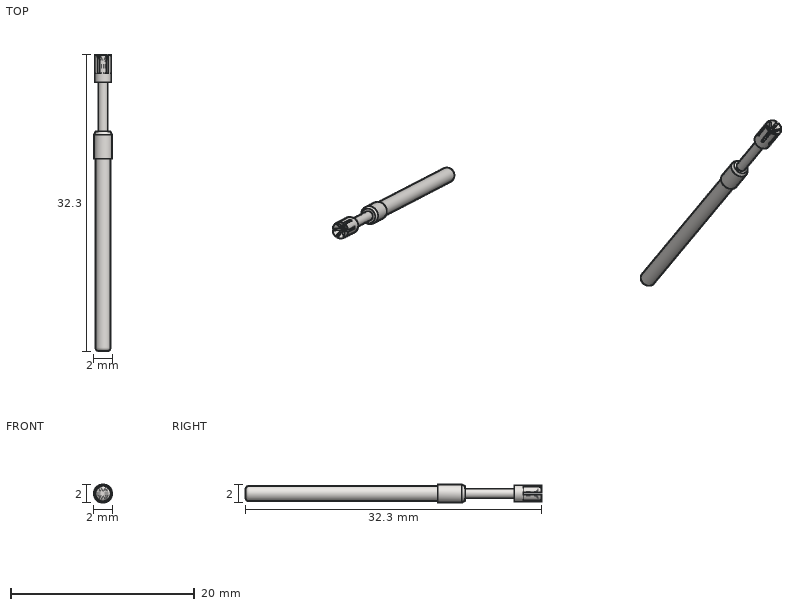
import cadquery as cq
total_length = 32.3

barrel_diameter = 1.68
barrel_end_fillet = 0.4

sleeve_diameter = 2.0
sleeve_length = 3.0
sleeve_chamfer_length = 0.4
sleeve_chamfer_depth = 0.2

stem_diameter = 1.05
stem_length = 5.33

head_diameter = 1.85
head_length = 3.0
slot_count = 6
slot_width = 0.23
slot_depth = 2.0
cup_radius = 0.9
cup_depth = 0.9

head_tip = total_length / 2
head_base = head_tip - head_length
sleeve_front = head_base - stem_length
sleeve_back = sleeve_front - sleeve_length
barrel_end = -total_length / 2


def round_bar(diameter, start, end):
    """Cylinder on the Y axis between two stations."""
    bar = cq.Workplane("XZ", origin=(0, start, 0)).circle(diameter / 2)
    return bar.extrude(start - end)


def turned(half_profile):
    """Solid of revolution about the Y axis."""
    return half_profile.revolve(360, (0, 0, 0), (0, 1, 0))


def make_barrel():
    barrel = round_bar(barrel_diameter, barrel_end, sleeve_back)
    return barrel.faces("<Y").edges().fillet(barrel_end_fillet)


def make_sleeve():
    """Collar whose head-side rim is a long shallow chamfer."""
    radius = sleeve_diameter / 2
    half_profile = (
        cq.Workplane("XY")
        .moveTo(0, sleeve_back)
        .lineTo(radius, sleeve_back)
        .lineTo(radius, sleeve_front - sleeve_chamfer_length)
        .lineTo(radius - sleeve_chamfer_depth, sleeve_front)
        .lineTo(0, sleeve_front)
        .close()
    )
    return turned(half_profile)


def make_cup():
    """Conical hollow that opens at the head tip."""
    half_profile = (
        cq.Workplane("XY")
        .moveTo(0, head_tip)
        .lineTo(cup_radius, head_tip)
        .lineTo(0, head_tip - cup_depth)
        .close()
    )
    return turned(half_profile)


def make_head():
    """Crown head: slots cross the full diameter, so each cut opens two of them."""
    head = round_bar(head_diameter, head_base, head_tip)
    cut_count = slot_count // 2
    slot_middle = head_tip - slot_depth / 2
    for index in range(cut_count):
        angle = index * 180 / cut_count
        slot = cq.Workplane("XY").box(head_diameter * 2, slot_depth, slot_width)
        slot = slot.translate((0, slot_middle, 0))
        head = head.cut(slot.rotate((0, 0, 0), (0, 1, 0), angle))
    return head.cut(make_cup())


stem = round_bar(stem_diameter, sleeve_front, head_base)
result = make_barrel().union(make_sleeve()).union(stem).union(make_head())